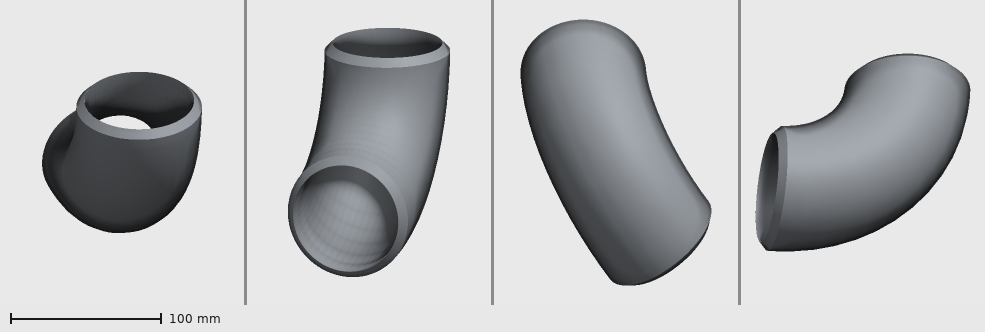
import cadquery as cq

outer_diameter = 83.4
wall = 5.2
overall_length = 136.9
land = 0.1
bend_angle = 90

outer_radius = outer_diameter / 2
bore_radius = outer_radius - wall
bevel = wall - land

outer_edge_depth = bevel * (2 * overall_length + bevel) / (2 * (overall_length + bevel))
bend_reach = overall_length + bevel - outer_edge_depth
bend_radius = bend_reach - outer_radius


def bent_bar(radius):
    """Quarter torus about the Y axis, from the X = 0 face to the Z = 0 face."""
    return (
        cq.Workplane("YZ")
        .center(0, -bend_radius)
        .circle(radius)
        .revolve(bend_angle, (1.4, bend_radius), (-1.4, bend_radius))
    )


def bevel_cutter():
    """Ring that trims the end at Z = 0 to a 45 degree cone."""
    clearance = 1.4
    cone_radius = outer_radius + clearance
    tip_radius = outer_radius - bevel
    depth = bevel + clearance
    return (
        cq.Workplane("XZ")
        .moveTo(tip_radius, 0)
        .lineTo(tip_radius, clearance)
        .lineTo(cone_radius, clearance)
        .lineTo(cone_radius, -depth)
        .close()
        .revolve(360, (0, 0), (0, 1))
    )


top_bevel = bevel_cutter().translate((bend_radius, 0, 0))
side_bevel = (
    bevel_cutter()
    .rotate((0, 0, 0), (0, 1, 0), -90)
    .translate((0, 0, -bend_radius))
)

result = bent_bar(outer_radius).cut(bent_bar(bore_radius)).cut(top_bevel).cut(side_bevel)